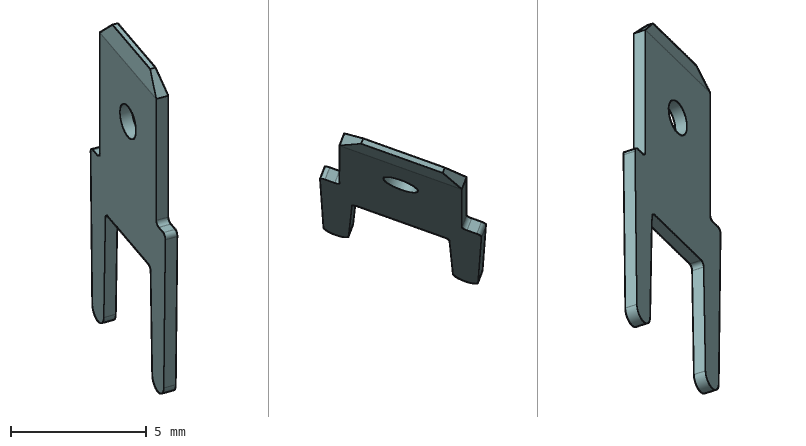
import cadquery as cq

height = 13.8
thickness = 0.5
shoulder_width = 6.35

blade_width = 4.8
tip_width = 3.2
tip_length = 0.8
tip_thickness = 0.22
hole_diameter = 1.35
hole_drop = 3.3

shoulder_z = height - 6.4
crotch_z = height - 8.6
leg_spacing = 5.08
leg_gap = 3.81
leg_tip_width = 1.0
shoulder_radius = 0.2
blade_root_radius = 0.2
crotch_radius = 0.2

leg_tip_radius = leg_tip_width / 2
leg_center = leg_spacing / 2
leg_outer = leg_center + leg_tip_radius
leg_inner = leg_center - leg_tip_radius


def extrude_centered(sketch):
    """Extrude an XZ outline by the plate thickness, centred on Y = 0."""
    return sketch.extrude(thickness / 2, both=True)


def make_body():
    """Flat plate: blade, shoulders and two tapering round-ended legs."""
    outline = (
        cq.Workplane("XZ")
        .moveTo(-tip_width / 2, height)
        .lineTo(tip_width / 2, height)
        .lineTo(blade_width / 2, height - tip_length)
        .lineTo(blade_width / 2, shoulder_z)
        .lineTo(shoulder_width / 2, shoulder_z)
        .lineTo(leg_outer, leg_tip_radius)
        .threePointArc((leg_center, 0), (leg_inner, leg_tip_radius))
        .lineTo(leg_gap / 2, crotch_z)
        .lineTo(-leg_gap / 2, crotch_z)
        .lineTo(-leg_inner, leg_tip_radius)
        .threePointArc((-leg_center, 0), (-leg_outer, leg_tip_radius))
        .lineTo(-shoulder_width / 2, shoulder_z)
        .lineTo(-blade_width / 2, shoulder_z)
        .lineTo(-blade_width / 2, height - tip_length)
        .close()
    )
    return extrude_centered(outline)


def round_corners(body, half_width, z, radius):
    """Round the mirrored pair of through-thickness edges at X = +/-half_width."""
    reach = 0.01
    for x in (-half_width, half_width):
        corner = cq.selectors.BoxSelector(
            (x - reach, -thickness, z - reach), (x + reach, thickness, z + reach)
        )
        body = body.edges(corner).fillet(radius)
    return body


def make_tip_envelope():
    """Side profile that thins the blade tip equally on both faces."""
    return (
        cq.Workplane("YZ")
        .moveTo(-thickness / 2, 0)
        .lineTo(thickness / 2, 0)
        .lineTo(thickness / 2, height - tip_length)
        .lineTo(tip_thickness / 2, height)
        .lineTo(-tip_thickness / 2, height)
        .lineTo(-thickness / 2, height - tip_length)
        .close()
        .extrude(shoulder_width, both=True)
    )


def make_hole():
    """Through hole in the blade."""
    circle = cq.Workplane("XZ").center(0, height - hole_drop).circle(hole_diameter / 2)
    return extrude_centered(circle)


body = make_body()
body = round_corners(body, shoulder_width / 2, shoulder_z, shoulder_radius)
body = round_corners(body, blade_width / 2, shoulder_z, blade_root_radius)
body = round_corners(body, leg_gap / 2, crotch_z, crotch_radius)
result = body.intersect(make_tip_envelope()).cut(make_hole())